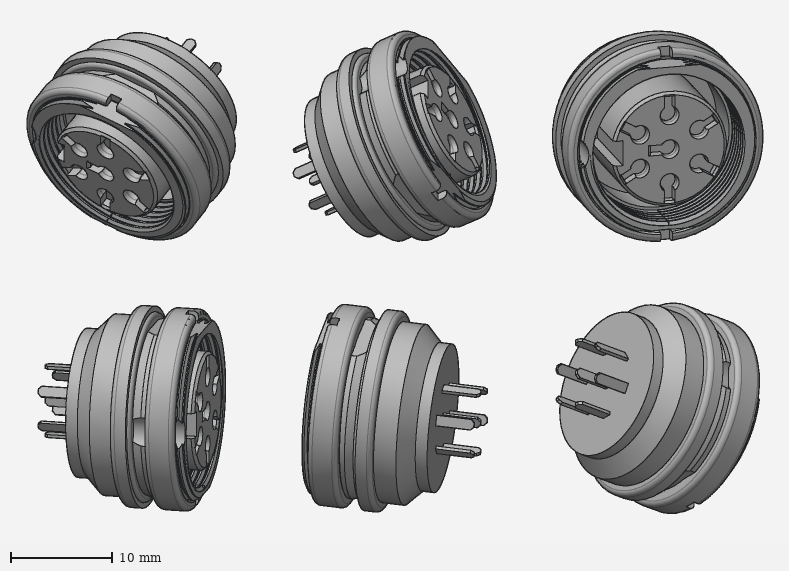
import cadquery as cq
import math


SHELL_FRONT = 0.3
THREAD_RADIUS = 9.0
RUNOUT_START = 4.65
RUNOUT_RADIUS = 8.55
FLANGE_FRONT = 5.95
FLANGE_BACK = 7.58
FLANGE_RADIUS = 10.0
FLANGE_FILLET = 0.5
BODY_RADIUS = 9.0
BODY_BACK = 9.85
REAR_RADIUS = 7.4
REAR_FACE = 12.65
CONE_BACK = BODY_BACK + BODY_RADIUS - REAR_RADIUS
FLAT_HEIGHT = 8.4
KEYWAY_RADIUS = 1.9
KEYWAY_BOTTOM = 8.2

MOUTH_RADIUS = 15.3 / 2
MOUTH_BACK = 4.4
SOCKET_RADIUS = 14.7 / 2
SOCKET_FLOOR = 9.0

PITCH = 0.75
THREAD_TURNS = 6
THREAD_START = SHELL_FRONT - PITCH
THREAD_START_ANGLE = 90.0
GROOVE_ROOT_WIDTH = 0.12
GROOVE_SPILL = 0.05
OUTER_GROOVE_DEPTH = 0.4
OUTER_GROOVE_WIDTH = 0.65
INNER_GROOVE_DEPTH = 0.35
INNER_GROOVE_WIDTH = 0.6

GASKET_RADIUS = 18.9 / 2
GASKET_THICKNESS = 0.4

NUT_FRONT = 1.08
NUT_BACK = NUT_FRONT + 3.0
NUT_RADIUS = 10.0
NUT_FILLET = 0.5
NUT_MOUTH_RADIUS = 18.3 / 2
NUT_THROAT_RADIUS = 8.98
NUT_THROAT_DEPTH = 1.1
NUT_LEAD_IN = 0.25
NUT_BORE_RADIUS = 8.55
NUT_SLOT_WIDTH = 1.2
NUT_SLOT_DEPTH = 1.0

INSERT_RADIUS = 5.9
INSERT_CHAMFER = 0.3
KEY_WIDTH = 2.55
KEY_BOTTOM = 4.78
KEY_STEP_RADIUS = 5.65
KEY_STEP = 0.2

RING_CONTACTS = 6
FIRST_CONTACT_ANGLE = 30.0
CONTACT_CIRCLE_RADIUS = 3.5
HOLE_DIAMETER = 1.7
HOLE_MOUTH_DIAMETER = 1.92
HOLE_TAPER_DEPTH = 0.5
HOLE_DEPTH = 1.1
SLOT_WIDTH = 1.05
SLOT_REACH = 2.15
SLOT_CHAMFER = 0.25
TAIL_WIDTH = 1.05
TAIL_THICKNESS = 0.32
TAIL_END = 16.45
TAIL_CHAMFER = 0.32

OVERLAP = 0.2

ORIGIN = (0, 0, 0)
X_AXIS = (1, 0, 0)
Y_AXIS = (0, 1, 0)


def turned(points):
    """Revolve a (radius, y) outline about the Y axis."""
    return cq.Workplane("XY").polyline(points).close().revolve(360, ORIGIN, Y_AXIS)


def disc(radius, front, back):
    return turned([(0, front), (radius, front), (radius, back), (0, back)])


def block(x_range, y_range, z_range):
    sizes = [high - low for low, high in (x_range, y_range, z_range)]
    corner = cq.Vector(x_range[0], y_range[0], z_range[0])
    return cq.Workplane(cq.Solid.makeBox(*sizes, corner))


def thread_groove(open_radius, root_radius, width):
    """V-shaped helical groove from open_radius to root_radius, as one solid per turn."""
    helix = cq.Wire.makeHelix(PITCH, PITCH, open_radius)
    depth = root_radius - open_radius
    spill = -math.copysign(GROOVE_SPILL, depth)
    half_width = width / 2
    half_root = GROOVE_ROOT_WIDTH / 2
    turn = (
        cq.Workplane("XZ", origin=(open_radius, 0, 0))
        .polyline([(spill, -half_width), (depth, -half_root), (depth, half_root), (spill, half_width)])
        .close()
        .sweep(cq.Workplane(helix), isFrenet=True)
        .rotate(ORIGIN, X_AXIS, -90)
        .rotate(ORIGIN, Y_AXIS, THREAD_START_ANGLE)
    )
    turns = [
        turn.val().translate(cq.Vector(0, THREAD_START + index * PITCH, 0)) for index in range(THREAD_TURNS)
    ]
    return cq.Workplane(cq.Compound.makeCompound(turns))


def make_shell():
    shell = turned([
        (0, SHELL_FRONT),
        (THREAD_RADIUS, SHELL_FRONT),
        (THREAD_RADIUS, RUNOUT_START),
        (RUNOUT_RADIUS, FLANGE_FRONT),
        (BODY_RADIUS, FLANGE_FRONT),
        (BODY_RADIUS, BODY_BACK),
        (REAR_RADIUS, CONE_BACK),
        (REAR_RADIUS, REAR_FACE),
        (0, REAR_FACE),
    ])
    outside = THREAD_RADIUS + OVERLAP
    for z_range in ((FLAT_HEIGHT, outside), (-outside, -FLAT_HEIGHT)):
        shell = shell.cut(block((-outside, outside), (0, FLANGE_FRONT), z_range))
    keyway = disc(KEYWAY_RADIUS, 0, FLANGE_FRONT).translate((-KEYWAY_BOTTOM - KEYWAY_RADIUS, 0, 0))
    flange = disc(FLANGE_RADIUS, FLANGE_FRONT, FLANGE_BACK).faces(">Y").edges().fillet(FLANGE_FILLET)
    gasket = disc(GASKET_RADIUS, FLANGE_FRONT - GASKET_THICKNESS, FLANGE_FRONT + OVERLAP)
    gasket = gasket.faces("<Y").edges().fillet(GASKET_THICKNESS)
    shell = shell.cut(keyway).union(flange).union(gasket)
    return shell.cut(disc(MOUTH_RADIUS, 0, MOUTH_BACK)).cut(disc(SOCKET_RADIUS, 0, SOCKET_FLOOR))


def make_insert():
    return disc(INSERT_RADIUS, 0, SOCKET_FLOOR + OVERLAP).faces("<Y").edges().chamfer(INSERT_CHAMFER)


def make_key_slot():
    """Key slot down to the socket floor, with a shallow step further in."""
    half = KEY_WIDTH / 2
    slot = block((-INSERT_RADIUS - OVERLAP, -KEY_BOTTOM), (0, SOCKET_FLOOR), (-half, half))
    step = slot.translate((0, KEY_STEP, 0)).intersect(disc(KEY_STEP_RADIUS, 0, SOCKET_FLOOR + KEY_STEP))
    return slot.union(step)


def make_cavity():
    """Tapered contact hole on the Y axis with a chamfered slot toward +X."""
    mouth = HOLE_MOUTH_DIAMETER / 2
    bore = HOLE_DIAMETER / 2
    hole = turned([(0, 0), (mouth, 0), (bore, HOLE_TAPER_DEPTH), (bore, HOLE_DEPTH), (0, HOLE_DEPTH)])
    slot_end = SLOT_REACH - SLOT_CHAMFER
    slot = (
        cq.Workplane("XY")
        .polyline([(0, 0), (SLOT_REACH, 0), (slot_end, SLOT_CHAMFER), (slot_end, HOLE_DEPTH), (0, HOLE_DEPTH)])
        .close()
        .extrude(SLOT_WIDTH / 2, both=True)
    )
    return hole.union(slot)


def make_tail():
    """Flat solder tail on the Y axis, broad side facing X."""
    half_width = TAIL_WIDTH / 2
    half_thickness = TAIL_THICKNESS / 2
    tail = block(
        (-half_thickness, half_thickness), (REAR_FACE - OVERLAP, TAIL_END), (-half_width, half_width)
    )
    return tail.faces(">Y").edges("|X").chamfer(TAIL_CHAMFER)


def at_contacts(shape):
    """Copies of a shape: one on the axis turned toward -X, the others pointing out from the ring."""
    copies = [shape.rotate(ORIGIN, Y_AXIS, 180)]
    ring_shape = shape.translate((CONTACT_CIRCLE_RADIUS, 0, 0))
    for index in range(RING_CONTACTS):
        angle = FIRST_CONTACT_ANGLE + index * 360 / RING_CONTACTS
        copies.append(ring_shape.rotate(ORIGIN, Y_AXIS, angle))
    return copies


def make_nut():
    mouth_back = NUT_FRONT + NUT_MOUTH_RADIUS - NUT_THROAT_RADIUS
    throat_back = NUT_FRONT + NUT_THROAT_DEPTH
    nut = disc(NUT_RADIUS, NUT_FRONT, NUT_BACK).edges().fillet(NUT_FILLET)
    bore = turned([
        (0, NUT_FRONT),
        (NUT_MOUTH_RADIUS, NUT_FRONT),
        (NUT_THROAT_RADIUS, mouth_back),
        (NUT_THROAT_RADIUS, throat_back),
        (NUT_BORE_RADIUS, throat_back + NUT_LEAD_IN),
        (NUT_BORE_RADIUS, NUT_BACK),
        (0, NUT_BACK),
    ])
    half = NUT_SLOT_WIDTH / 2
    reach = NUT_RADIUS + OVERLAP
    slots = block((-half, half), (NUT_FRONT, NUT_FRONT + NUT_SLOT_DEPTH), (-reach, reach))
    return nut.cut(bore).cut(slots)


result = make_shell().union(make_insert()).cut(make_key_slot())
for cavity in at_contacts(make_cavity()):
    result = result.cut(cavity)
for tail in at_contacts(make_tail()):
    result = result.union(tail)

outer_groove = thread_groove(THREAD_RADIUS, THREAD_RADIUS - OUTER_GROOVE_DEPTH, OUTER_GROOVE_WIDTH)
inner_groove = thread_groove(MOUTH_RADIUS, MOUTH_RADIUS + INNER_GROOVE_DEPTH, INNER_GROOVE_WIDTH)
result = result.cut(outer_groove).cut(inner_groove).union(make_nut())